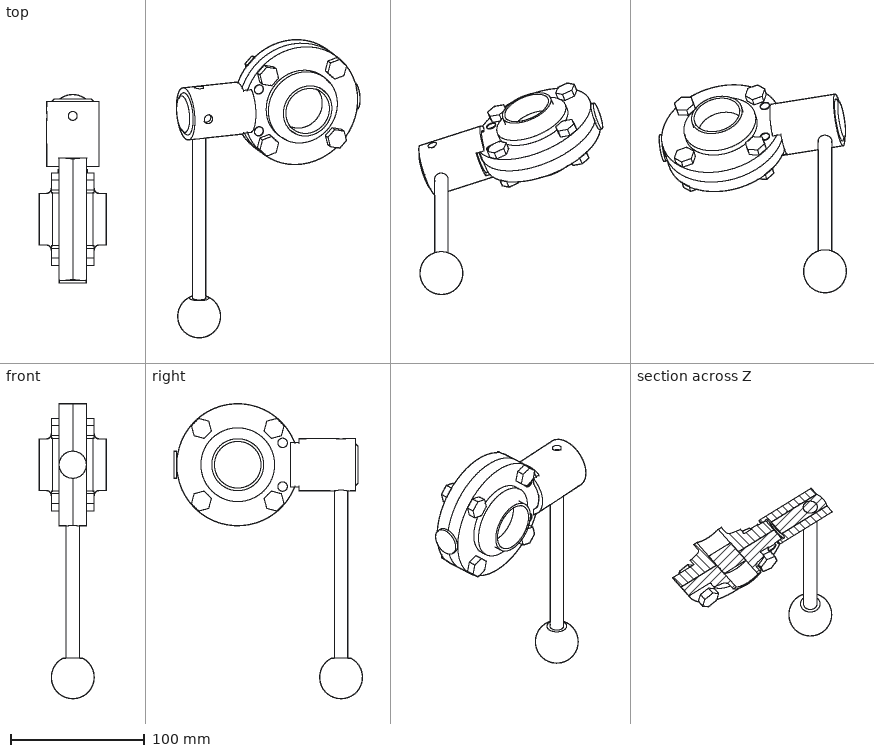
import cadquery as cq


overall_length_x = 50.0
overall_height = 220.5

flange_radius = 45.6
flange_half_thickness = 10.4
raised_ring_radius = 27.5
raised_ring_x = 15.0
neck_radius = 22.0
neck_x = 16.3
neck_fillet = 3.3
pipe_radius = 19.5
pipe_start_x = 19.6
pipe_end_x = overall_length_x / 2
bore_radius = 17.5

bolt_count = 4
first_bolt_angle = 45
bolt_circle_radius = 38.4
bolt_sides = 6
bolt_corner_radius = 7.7
bolt_head_x = 15.9
pin_radius = 3.5
pin_x = 11.0
pin_y = 33.5
pin_z = 16.3

disc_thickness = 19.8
stem_radius = 6.6
stem_head_radius = 10.1
stem_head_height = 2.0
core_radius = 15.9
core_end_y = 90.0
core_chamfer_radial = 2.2
core_chamfer_axial = 2.0

sleeve_radius = 19.6
sleeve_start_y = 39.2
sleeve_end_y = 88.0
index_hole_radius = 3.3

lever_y = 77.2
rod_radius = 5.0
rod_top_z = -11.0
ball_radius = 16.0
ball_flat_height = 14.3
ball_center_z = flange_radius - overall_height + ball_radius


def cylinder_y(radius, start_y, end_y):
    """Cylinder on the Y axis between two Y positions."""
    plane = cq.Workplane("XZ", origin=(0, start_y, 0))
    return plane.circle(radius).extrude(start_y - end_y)


def stem_shaft():
    """Plain round stem from its head, across the valve to the rim of the flange."""
    return cylinder_y(stem_radius, -flange_radius, flange_radius)


def disc_plate():
    """Round plate that closes the bore, centred on the split plane."""
    plane = cq.Workplane("YZ", origin=(-disc_thickness / 2, 0, 0))
    return plane.circle(bore_radius).extrude(disc_thickness)


def rod():
    """Lever rod from inside the stem core down to the centre of the ball."""
    plane = cq.Workplane("XY", origin=(0, lever_y, ball_center_z))
    return plane.circle(rod_radius).extrude(rod_top_z - ball_center_z)


def bolt_heads():
    """Hexagonal heads standing on the flange face, one flat of each facing outward."""
    heads = cq.Workplane("YZ")
    for index in range(bolt_count):
        angle = first_bolt_angle + index * 360 / bolt_count
        head = (
            cq.Workplane("YZ")
            .center(bolt_circle_radius, 0)
            .transformed(rotate=(0, 0, 180 / bolt_sides))
            .polygon(bolt_sides, 2 * bolt_corner_radius)
            .extrude(bolt_head_x)
            .rotate((0, 0, 0), (1, 0, 0), angle)
        )
        heads = heads.add(head)
    return heads


def body_half():
    """Half of the valve body on the +X side of the split plane."""
    half = (
        cq.Workplane("XY")
        .moveTo(0, bore_radius)
        .lineTo(0, flange_radius)
        .lineTo(flange_half_thickness, flange_radius)
        .lineTo(flange_half_thickness, raised_ring_radius)
        .lineTo(raised_ring_x, raised_ring_radius)
        .lineTo(neck_x, neck_radius)
        .radiusArc((pipe_start_x, pipe_radius), -neck_fillet)
        .lineTo(pipe_end_x, pipe_radius)
        .lineTo(pipe_end_x, bore_radius)
        .close()
        .revolve(360, (0, 0, 0), (1, 0, 0))
    )
    for head in bolt_heads().vals():
        half = half.union(cq.Workplane(head))
    pins = (
        cq.Workplane("YZ")
        .pushPoints([(pin_y, pin_z), (pin_y, -pin_z)])
        .circle(pin_radius)
        .extrude(pin_x)
    )
    return half.union(pins).cut(stem_shaft())


def stem_and_disc():
    """Closing disc and stem, with a flat head at the -Y end and a thick core at the +Y end."""
    head = cylinder_y(stem_head_radius, -flange_radius - stem_head_height, -flange_radius)
    core = cylinder_y(core_radius, flange_radius, core_end_y)
    core = core.faces(">Y").chamfer(core_chamfer_axial, core_chamfer_radial)
    return disc_plate().union(stem_shaft()).union(head).union(core).cut(rod())


def handle_sleeve():
    """Tube around the core, slotted over the flange, with index holes and the rod hole."""
    sleeve = cylinder_y(sleeve_radius, sleeve_start_y, sleeve_end_y)
    bore = cylinder_y(core_radius, sleeve_start_y, sleeve_end_y)
    slot_length = flange_radius - sleeve_start_y
    slot = cq.Workplane("XY").box(2 * flange_half_thickness, slot_length, 2 * sleeve_radius)
    slot = slot.translate((0, sleeve_start_y + slot_length / 2, 0))
    side_hole = cq.Workplane("YZ").center(lever_y, 0).circle(index_hole_radius).extrude(-sleeve_radius)
    top_hole = cq.Workplane("XY").center(0, lever_y).circle(index_hole_radius).extrude(sleeve_radius)
    for opening in (bore, slot, side_hole, top_hole, rod()):
        sleeve = sleeve.cut(opening)
    return sleeve


def lever():
    """Rod with a ball grip that is flattened where the rod enters."""
    ball = cq.Workplane("XY").sphere(ball_radius)
    flat_cut = cq.Workplane("XY", origin=(0, 0, ball_flat_height)).circle(ball_radius).extrude(ball_radius)
    ball = ball.cut(flat_cut).translate((0, lever_y, ball_center_z))
    return rod().union(ball)


plus_x_half = body_half()
minus_x_half = plus_x_half.mirror("YZ")
disc = stem_and_disc()
sleeve = handle_sleeve()
hand_lever = lever()

result = cq.Compound.makeCompound(
    [plus_x_half.val(), minus_x_half.val(), disc.val(), sleeve.val(), hand_lever.val()]
)